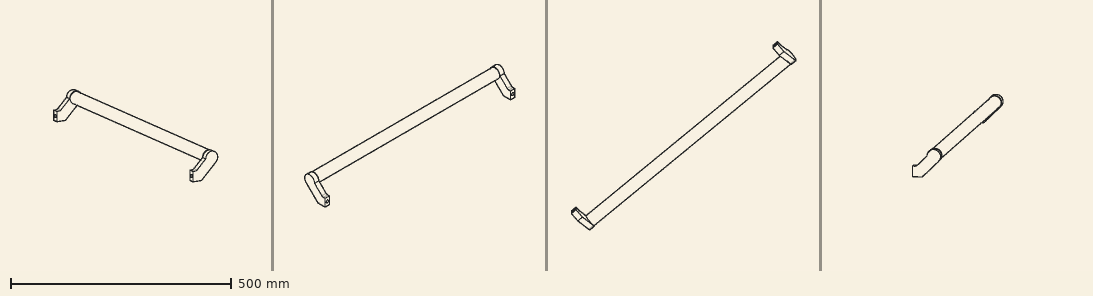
import cadquery as cq
import math

length = 614.0
height = 66.0
head_radius = 16.0
bar_radius = 15.0
bracket_thickness = 14.0
foot_height = 24.5
bend_radius = 7.5
hole_diameter = 7.5
hole_depth = 18.5

front_y = head_radius - height
bottom_z = head_radius - height
foot_top_z = bottom_z + foot_height


def make_bracket(start_x):
    """Round head with a 45 degree arm ending in a flat, drilled foot."""
    tangent = head_radius * math.sqrt(0.5)
    heel_y = head_radius * math.sqrt(2) + bottom_z
    bend_y = foot_top_z - head_radius

    body = (
        cq.Workplane("YZ")
        .moveTo(-head_radius, 0)
        .lineTo(bend_y, foot_top_z)
        .lineTo(front_y, foot_top_z)
        .lineTo(front_y, bottom_z)
        .lineTo(heel_y, bottom_z)
        .lineTo(tangent, -tangent)
        .threePointArc((tangent, tangent), (-head_radius, 0))
        .close()
        .extrude(bracket_thickness)
    )
    bend_edge = cq.selectors.NearestToPointSelector((bracket_thickness / 2, bend_y, foot_top_z))
    body = body.edges(bend_edge).fillet(bend_radius)

    hole = cq.Solid.makeCylinder(
        hole_diameter / 2,
        hole_depth,
        cq.Vector(bracket_thickness / 2, front_y, bottom_z + foot_height / 2),
        cq.Vector(0, 1, 0),
    )
    return body.cut(cq.Workplane(hole)).translate((start_x, 0, 0))


result = cq.Workplane("YZ").circle(bar_radius).extrude(length).translate((-length / 2, 0, 0))
for bracket_start in (-length / 2, length / 2 - bracket_thickness):
    result = result.union(make_bracket(bracket_start))